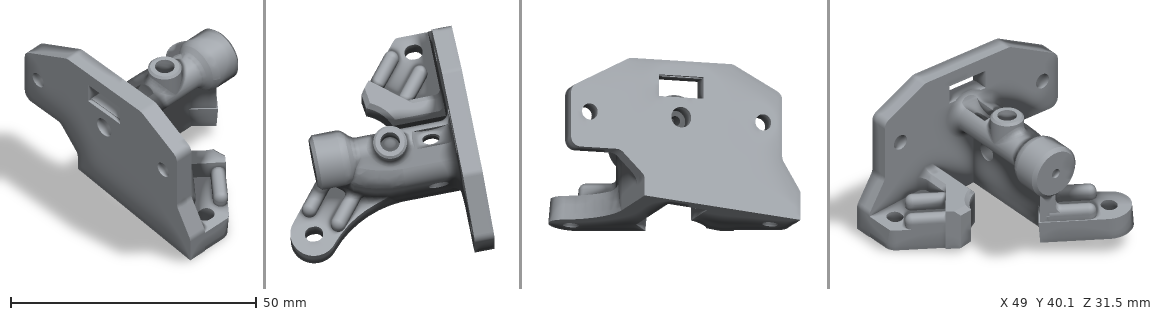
import cadquery as cq
import math


UNDERSIDE_ANGLE = 5.25
PLATE_TOP = 11.7
PLATE_BOTTOM = -19.81
PLATE_RIGHT = 25.5
UNDERSIDE_SLOPE = math.tan(math.radians(UNDERSIDE_ANGLE))
UNDERSIDE_AT_BORE = PLATE_BOTTOM + PLATE_RIGHT * UNDERSIDE_SLOPE
CLEARANCE = 100.0

PLATE_LEFT = -23.5
PLATE_THICKNESS = 4.1
TOP_HALF_WIDTH = 11.0
SHOULDER_ANGLE = 28.0
RIGHT_SHOULDER = 21.55
EAR_BOTTOM = -7.42
EAR_CORNER_X = -13.0
FOOT_FLARE_BOTTOM = -14.0
PLATE_CORNER_RADIUS = 2.0
MOUNT_HOLE_XS = (-19.5, 17.5)
MOUNT_HOLE_DIAMETER = 3.35
WINDOW_WIDTH = 9.45
WINDOW_BOTTOM = 4.3
WINDOW_TOP = 8.45
WINDOW_STEP_HEIGHT = 0.17
WINDOW_STEP_DEPTH = 0.85

BARREL_RADIUS = 3.5
SOCKET_RADIUS = 5.68
SOCKET_END = 33.0
SOCKET_CHAMFER = 0.75
SOCKET_SHOULDER = 26.45
SOCKET_BLEND_RADIUS = 2.15
BORE_DIAMETER = 2.05
INLET_DIAMETER = 4.25

BOSS_Y = 17.05
BOSS_RADIUS = 3.45
BOSS_TOP = 6.05
BOSS_CHAMFER = 0.45
BOSS_ROOT_RADIUS = 1.35
BOSS_BORE_DIAMETER = 4.0
BOSS_BORE_FLOOR = 1.5

WEB_LEFT = -7.8
WEB_SLANT_ANGLE = 26.0
WEB_EDGE_RADIUS = 4.9
WEB_STRAIGHT_END = 15.4
ROOT_FILLET = 1.9
WEB_CORNER_Z = EAR_BOTTOM - (WEB_LEFT - EAR_CORNER_X)
SLANT = math.radians(WEB_SLANT_ANGLE)
SLANT_TANGENT_X = -BARREL_RADIUS * math.sin(SLANT)
SLANT_TANGENT_Z = BARREL_RADIUS * math.cos(SLANT)
WEB_RIGHT = SLANT_TANGENT_X

NOTCH_WIDTH = 3.8
NOTCH_Y = 8.55
NOTCH_RADIUS = 4.3
NOTCH_FLOOR = 1.1
DRAIN_WIDTH = 2.1
DRAIN_LENGTH = 3.6
SIDE_HOLE_Y = 8.45
SIDE_HOLE_Z = -7.7
SIDE_HOLE_DIAMETER = 4.15

TAB_THICKNESS = 5.0
RIB_ANGLE = 39.0
RIB_WIDTH = 3.0
RIB_HEIGHT = 2.8
RIB_LENGTH = 8.0
RIB_ROOT_RADIUS = 1.2
RIB_EMBED = 1.0
TAB_SLOT_LENGTH = 3.75
TAB_SLOT_WIDTH = 3.1
ALONG_RIB = cq.Vector(math.cos(math.radians(RIB_ANGLE)), -math.sin(math.radians(RIB_ANGLE)))
ACROSS_RIB = cq.Vector(-ALONG_RIB.y, ALONG_RIB.x)
RIB_SPACING = 6.65
RIB_STEP = ACROSS_RIB * RIB_SPACING

LUG_CENTER = cq.Vector(-12.45, 35.25)
LUG_RADIUS = 4.8
ARM_EDGE_START = cq.Vector(-15.38, 31.45)
ARM_EDGE_MIDDLE = cq.Vector(-10.15, 24.8)
ARM_EDGE_LENGTH = 14.3
FLANGE_THICKNESS = 3.1
WEB_FLANGE_LENGTH = 8.0
LUG_TANGENT = LUG_CENTER + ACROSS_RIB * LUG_RADIUS
ARM_TIP = LUG_TANGENT + ALONG_RIB * ARM_EDGE_LENGTH
ARM_INNER_CORNER = ARM_TIP - ACROSS_RIB * ((ARM_TIP.x - WEB_RIGHT) / ACROSS_RIB.x)
ARM_RIB = cq.Vector(-11.65, 30.0)
NEAR_RIB_ROOT_ZONE = ((-7.9, 18.0, -12.05), (-4.7, 27.0, -9.0))
FAR_RIB_ROOT_ZONE = ((-2.7, 29.5, -13.0), (-0.7, 31.95, -9.0))
ARM_SLOT = (-12.6, 35.25)

LEG_LEFT = 6.8
LEG_WALL_RIGHT = 11.5
LEG_WALL_TOP = -9.9
LEG_STRAIGHT_END = 15.1
LEG_BEND_MIDDLE = (9.4, 16.7)
LEG_BEND_END = (11.5, 19.7)
LEG_TIP = cq.Vector(14.5, 20.1)
LEG_WALL_CHAMFER = 1.0
LEG_CORNER_RADIUS = 3.0
LEG_TAB_INSET = 0.4
LEG_ROOT_FILLET = 1.4
LEG_RIB = cq.Vector(16.55, 7.45)
LEG_SLOT = (21.5, 7.8)


def edges_within(body, low, high):
    """Edges of body that lie wholly inside the box from low to high."""
    return body.edges(cq.selectors.BoxSelector(low, high, boundingbox=True))


def xy(vector):
    return (vector.x, vector.y)


def underside_plane(height=0.0):
    """Plane parallel to the underside, raised by height along its normal."""
    angle = math.radians(UNDERSIDE_ANGLE)
    normal = cq.Vector(math.sin(angle), 0, math.cos(angle))
    origin = cq.Vector(0, 0, UNDERSIDE_AT_BORE) + normal * height
    return cq.Plane(origin=origin, xDir=(math.cos(angle), 0, -math.sin(angle)), normal=normal)


def along_y(start):
    """Workplane with local axes X and Z; extruding by a negative depth goes toward +Y."""
    return cq.Workplane("XZ", origin=(0, start, 0))


def make_plate():
    shoulder_slope = math.tan(math.radians(SHOULDER_ANGLE))
    left_shoulder_z = PLATE_TOP - (-TOP_HALF_WIDTH - PLATE_LEFT) * shoulder_slope
    right_shoulder_z = PLATE_TOP - (RIGHT_SHOULDER - TOP_HALF_WIDTH) * shoulder_slope
    outline = [
        (-TOP_HALF_WIDTH, PLATE_TOP),
        (TOP_HALF_WIDTH, PLATE_TOP),
        (RIGHT_SHOULDER, right_shoulder_z),
        (RIGHT_SHOULDER, EAR_BOTTOM),
        (PLATE_RIGHT, FOOT_FLARE_BOTTOM),
        (PLATE_RIGHT, PLATE_BOTTOM),
        (WEB_LEFT, UNDERSIDE_AT_BORE - WEB_LEFT * UNDERSIDE_SLOPE),
        (WEB_LEFT, WEB_CORNER_Z),
        (EAR_CORNER_X, EAR_BOTTOM),
        (PLATE_LEFT, EAR_BOTTOM),
        (PLATE_LEFT, left_shoulder_z),
    ]
    plate = along_y(0).polyline(outline).close().extrude(-PLATE_THICKNESS)
    foot_zone = cq.selectors.BoxSelector(
        (WEB_LEFT - 1, -1, PLATE_BOTTOM - 1), (PLATE_RIGHT + 1, PLATE_THICKNESS + 1, FOOT_FLARE_BOTTOM - 1))
    web_corner = cq.selectors.NearestToPointSelector((WEB_LEFT, PLATE_THICKNESS / 2, WEB_CORNER_Z))
    corners = cq.selectors.ParallelDirSelector(cq.Vector(0, 1, 0))
    return plate.edges(corners - foot_zone - web_corner).fillet(PLATE_CORNER_RADIUS)


def make_web():
    """Upright web: bends near its far end into a flange square to the ribs."""
    far = ARM_TIP - ALONG_RIB * FLANGE_THICKNESS
    end = far - ACROSS_RIB * WEB_FLANGE_LENGTH
    footprint = (
        cq.Workplane("XY", origin=(0, 0, PLATE_BOTTOM))
        .moveTo(WEB_LEFT, 0)
        .lineTo(WEB_LEFT, WEB_STRAIGHT_END)
        .tangentArcPoint(xy(end), relative=False)
        .lineTo(*xy(far))
        .lineTo(*xy(ARM_TIP))
        .lineTo(*xy(ARM_INNER_CORNER))
        .lineTo(WEB_RIGHT, 0)
        .close()
        .extrude(PLATE_TOP - PLATE_BOTTOM)
    )
    slant_left_z = SLANT_TANGENT_Z + (WEB_LEFT - SLANT_TANGENT_X) * math.tan(SLANT)
    section = [
        (WEB_LEFT, PLATE_BOTTOM),
        (WEB_LEFT, slant_left_z),
        (SLANT_TANGENT_X, SLANT_TANGENT_Z),
        (SLANT_TANGENT_X, 0),
        (BARREL_RADIUS, 0),
        (BARREL_RADIUS, PLATE_BOTTOM),
    ]
    envelope = along_y(0).polyline(section).close().extrude(-SOCKET_END)
    web = footprint.intersect(envelope)
    edge_zone = cq.selectors.BoxSelector(
        (WEB_LEFT - 1, 0, slant_left_z - 0.5), (end.x - 0.2, end.y - 1, SLANT_TANGENT_Z))
    return web.edges(edge_zone).edges("not |X").fillet(WEB_EDGE_RADIUS)


def make_barrel():
    shoulder_run = SOCKET_RADIUS - BARREL_RADIUS
    half_section = [
        (0, 0),
        (BARREL_RADIUS, 0),
        (BARREL_RADIUS, SOCKET_SHOULDER - shoulder_run),
        (SOCKET_RADIUS, SOCKET_SHOULDER),
        (SOCKET_RADIUS, SOCKET_END),
        (0, SOCKET_END),
    ]
    barrel = (
        cq.Workplane("XY").polyline(half_section).close()
        .revolve(360, (0, 0, 0), (0, 1, 0))
        .faces(">Y").chamfer(SOCKET_CHAMFER)
    )
    reach = SOCKET_RADIUS + 1
    cone_ends = edges_within(
        barrel,
        (-reach, SOCKET_SHOULDER - shoulder_run - 0.1, -reach),
        (reach, SOCKET_SHOULDER + 0.1, reach),
    )
    return cone_ends.edges("%CIRCLE").fillet(SOCKET_BLEND_RADIUS)


def make_boss():
    return (
        cq.Workplane("XY").center(0, BOSS_Y).circle(BOSS_RADIUS).extrude(BOSS_TOP)
        .faces(">Z").chamfer(BOSS_CHAMFER)
    )


def make_rib(end, direction):
    """Round-topped rib on a tab, from its rounded end along direction."""
    radius = RIB_WIDTH / 2
    side_height = RIB_HEIGHT - radius
    middle = end + direction * (RIB_LENGTH / 2)
    angle = math.degrees(math.atan2(direction.y, direction.x))
    tab_top = underside_plane(TAB_THICKNESS)
    axis_start = tab_top.toWorldCoords((end.x, end.y, side_height))
    axis_end = axis_start + tab_top.toWorldCoords(xy(direction * RIB_LENGTH)) - tab_top.origin
    sides = (
        cq.Workplane(underside_plane(TAB_THICKNESS - RIB_EMBED)).center(*xy(middle))
        .slot2D(RIB_LENGTH + RIB_WIDTH, RIB_WIDTH, angle).extrude(side_height + RIB_EMBED)
    )
    crown = cq.Solid.makeCylinder(radius, RIB_LENGTH, axis_start, axis_end - axis_start)
    nose = cq.Workplane("XY").sphere(radius).translate(axis_start)
    return sides.union(cq.Workplane(crown)).union(nose)


def make_arm_tab():
    """Tab with a round lug; its straight inner edge is buried in the web."""
    lug_left = LUG_CENTER - cq.Vector(LUG_RADIUS, 0)
    return (
        cq.Workplane(underside_plane())
        .moveTo(WEB_LEFT, WEB_STRAIGHT_END)
        .threePointArc(xy(ARM_EDGE_MIDDLE), xy(ARM_EDGE_START))
        .threePointArc(xy(lug_left), xy(LUG_TANGENT))
        .lineTo(*xy(ARM_TIP))
        .lineTo(*xy(ARM_INNER_CORNER))
        .close().extrude(TAB_THICKNESS)
    )


def make_leg_tab():
    """Tab whose left end is buried in the leg's wall."""
    buried_x = (LEG_LEFT + LEG_WALL_RIGHT) / 2
    start = LEG_TIP + ALONG_RIB * (FLANGE_THICKNESS / 2) - ACROSS_RIB * LEG_TAB_INSET
    corner = start + ALONG_RIB * ((PLATE_RIGHT - start.x) / ALONG_RIB.x)
    return (
        cq.Workplane(underside_plane())
        .moveTo(buried_x, 0)
        .lineTo(buried_x, LEG_STRAIGHT_END - 1)
        .lineTo(*xy(start))
        .lineTo(*xy(corner))
        .lineTo(PLATE_RIGHT, 0)
        .close().extrude(TAB_THICKNESS)
        .edges(cq.selectors.NearestToPointSelector((corner.x, corner.y, PLATE_BOTTOM)))
        .fillet(LEG_CORNER_RADIUS)
    )


def make_leg_wall():
    outer = LEG_TIP + ALONG_RIB * FLANGE_THICKNESS
    inner = outer - ACROSS_RIB * ((outer.x - LEG_WALL_RIGHT) / ACROSS_RIB.x)
    wall = (
        cq.Workplane("XY", origin=(0, 0, PLATE_BOTTOM))
        .moveTo(LEG_LEFT, 0)
        .lineTo(LEG_LEFT, LEG_STRAIGHT_END)
        .threePointArc(LEG_BEND_MIDDLE, LEG_BEND_END)
        .lineTo(*xy(LEG_TIP))
        .lineTo(*xy(outer))
        .lineTo(*xy(inner))
        .lineTo(LEG_WALL_RIGHT, 0)
        .close().extrude(LEG_WALL_TOP - PLATE_BOTTOM)
    )
    chamfered = cq.selectors.BoxSelector(
        (LEG_LEFT - 1, 1, LEG_WALL_TOP - 0.1), (LEG_TIP.x - 1, LEG_TIP.y, LEG_WALL_TOP + 0.1))
    return wall.edges(chamfered).chamfer(LEG_WALL_CHAMFER)


def tab_slot(center):
    return (
        cq.Workplane(underside_plane(-1)).center(*center)
        .slot2D(TAB_SLOT_LENGTH, TAB_SLOT_WIDTH, 90).extrude(TAB_THICKNESS + 2)
    )


def make_notch():
    notch_center = NOTCH_FLOOR + NOTCH_RADIUS
    notch = (
        cq.Workplane("YZ", origin=(-NOTCH_WIDTH / 2, 0, 0)).center(NOTCH_Y, notch_center)
        .circle(NOTCH_RADIUS).extrude(NOTCH_WIDTH)
    )
    behind_plate = cq.Workplane("XY").box(
        CLEARANCE, CLEARANCE, CLEARANCE, centered=(True, False, True)).translate((0, PLATE_THICKNESS, 0))
    drain = (
        cq.Workplane("XY", origin=(0, NOTCH_Y, NOTCH_FLOOR + 1))
        .ellipse(DRAIN_WIDTH / 2, DRAIN_LENGTH / 2).extrude(-BARREL_RADIUS - NOTCH_FLOOR - 2)
    )
    return notch.intersect(behind_plate).union(drain)


def make_arm():
    """Web with its tab and two ribs, blended where the ribs run into the web."""
    arm = make_web().union(make_arm_tab())
    rib_roots = ((ARM_RIB, NEAR_RIB_ROOT_ZONE), (ARM_RIB + RIB_STEP, FAR_RIB_ROOT_ZONE))
    for rib_end, root_zone in rib_roots:
        arm = arm.union(make_rib(rib_end, ALONG_RIB))
        arm = edges_within(arm, *root_zone).fillet(RIB_ROOT_RADIUS)
    return arm


def make_body():
    """Arm, barrel and boss, rooted in the plate."""
    body = make_arm().union(make_barrel()).union(make_boss())
    boss_reach = BOSS_RADIUS + 0.1
    boss_root = edges_within(
        body,
        (-boss_reach, BOSS_Y - boss_reach, -0.1),
        (boss_reach, BOSS_Y + boss_reach, BOSS_TOP - 1),
    )
    body = boss_root.fillet(BOSS_ROOT_RADIUS).union(make_plate())
    root = edges_within(
        body,
        (WEB_LEFT - 0.1, -0.1, WEB_CORNER_Z - 0.1),
        (BARREL_RADIUS + 0.1, PLATE_THICKNESS + 0.1, BARREL_RADIUS + 0.1),
    )
    return root.fillet(ROOT_FILLET)


def add_leg(body):
    """Join the leg and its ribs, with a fillet where the wall meets the plate."""
    body = body.union(make_leg_wall()).union(make_leg_tab())
    root = edges_within(
        body,
        (LEG_LEFT + 0.5, PLATE_THICKNESS - 0.1, PLATE_BOTTOM),
        (LEG_WALL_RIGHT + 0.1, PLATE_THICKNESS + 0.1, LEG_WALL_TOP + 0.1),
    )
    body = root.fillet(LEG_ROOT_FILLET)
    for rib_end in (LEG_RIB, LEG_RIB + RIB_STEP):
        body = body.union(make_rib(rib_end, -ALONG_RIB))
    return body


def round_hole(plane, center, diameter, depth):
    return plane.center(*center).circle(diameter / 2).extrude(depth)


def make_window():
    """Window through the plate, slightly taller for a short way in from the front."""
    middle = (WINDOW_TOP + WINDOW_BOTTOM) / 2
    height = WINDOW_TOP - WINDOW_BOTTOM
    through = along_y(0).center(0, middle).rect(WINDOW_WIDTH, height).extrude(-PLATE_THICKNESS)
    step = (
        along_y(0).center(0, middle)
        .rect(WINDOW_WIDTH, height + 2 * WINDOW_STEP_HEIGHT).extrude(-WINDOW_STEP_DEPTH)
    )
    return through.union(step)


def make_holes():
    side_plane = cq.Workplane("YZ", origin=(WEB_LEFT, 0, 0))
    boss_plane = cq.Workplane("XY", origin=(0, 0, BOSS_BORE_FLOOR))
    holes = [
        round_hole(along_y(0), (0, 0), BORE_DIAMETER, -SOCKET_END),
        round_hole(along_y(0), (0, 0), INLET_DIAMETER, -PLATE_THICKNESS),
        round_hole(boss_plane, (0, BOSS_Y), BOSS_BORE_DIAMETER, BOSS_TOP),
        round_hole(side_plane, (SIDE_HOLE_Y, SIDE_HOLE_Z), SIDE_HOLE_DIAMETER, WEB_RIGHT - WEB_LEFT),
        make_window(),
        make_notch(),
        tab_slot(ARM_SLOT),
        tab_slot(LEG_SLOT),
    ]
    for x in MOUNT_HOLE_XS:
        holes.append(round_hole(along_y(0), (x, 0), MOUNT_HOLE_DIAMETER, -PLATE_THICKNESS))
    return holes


def make_trimmers():
    """Blocks that clear everything below the underside and right of the plate."""
    below = cq.Workplane(underside_plane()).rect(CLEARANCE, CLEARANCE).extrude(-CLEARANCE)
    beyond_right = cq.Workplane("YZ", origin=(PLATE_RIGHT, 0, 0)).rect(CLEARANCE, CLEARANCE).extrude(CLEARANCE)
    return [below, beyond_right]


result = add_leg(make_body())
for cutter in make_trimmers() + make_holes():
    result = result.cut(cutter)